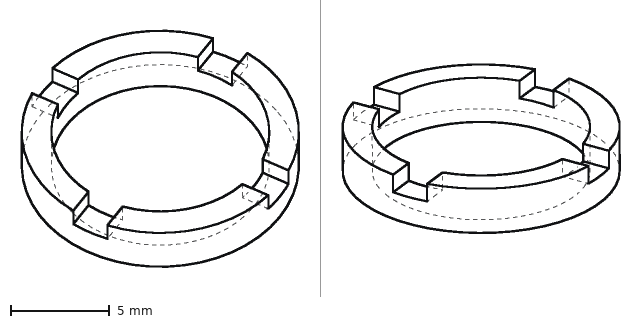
import cadquery as cq

outer_diameter = 14.0
inner_diameter = 11.0
height = 2.5

slot_width = 2.0
slot_depth = 1.0
slot_angles = (0, 90)


def ring():
    """Plain ring standing on the XY plane."""
    return (
        cq.Workplane("XY")
        .circle(outer_diameter / 2)
        .circle(inner_diameter / 2)
        .extrude(height)
    )


def slot_cutter(angle):
    """Bar across the full diameter that notches both sides of the ring."""
    return (
        cq.Workplane("XY", origin=(0, 0, height - slot_depth))
        .transformed(rotate=(0, 0, angle))
        .rect(outer_diameter, slot_width)
        .extrude(slot_depth)
    )


result = ring()
for slot_angle in slot_angles:
    result = result.cut(slot_cutter(slot_angle))